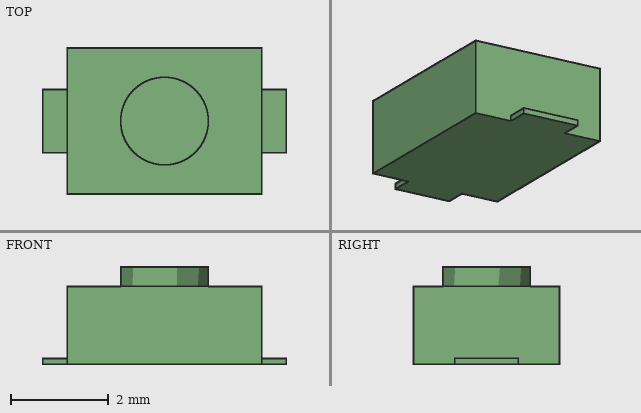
import cadquery as cq

overall_length = 5.0
overall_height = 2.0

body_length = 4.0
body_width = 3.0
body_height = 1.6

button_diameter = 1.8
button_height = overall_height - body_height

terminal_width = 1.3
terminal_thickness = 0.12


def block_on_base(length, width, height):
    """Box centred on X and Y, standing on the Z = 0 plane."""
    return cq.Workplane("XY").box(length, width, height, centered=(True, True, False))


body = block_on_base(body_length, body_width, body_height)
terminals = block_on_base(overall_length, terminal_width, terminal_thickness)
button = (
    cq.Workplane("XY")
    .workplane(offset=body_height)
    .circle(button_diameter / 2)
    .extrude(button_height)
)

result = body.union(terminals).union(button)